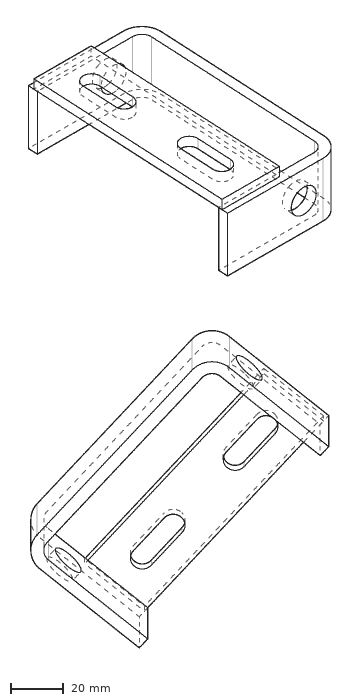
import cadquery as cq

bracket_length = 110.0
bracket_depth = 60.0
bracket_height = 30.0
thickness = 5.0
bend_radius = 10.0
cross_hole_diameter = 13.0
cross_hole_from_back = 20.0

plate_length = 104.0
plate_depth = 30.0
slot_length = 27.0
slot_width = 9.0
slot_spacing = 53.9


def make_bracket():
    """U-shaped strap, open toward -Y, with a hole through both arms."""
    outer = (
        cq.Workplane("XY")
        .box(bracket_length, bracket_depth, bracket_height, centered=(True, False, False))
        .edges("|Z and >Y")
        .fillet(bend_radius)
    )
    inside = (
        cq.Workplane("XY")
        .box(
            bracket_length - 2 * thickness,
            bracket_depth - thickness,
            bracket_height,
            centered=(True, False, False),
        )
        .edges("|Z and >Y")
        .fillet(bend_radius - thickness)
    )
    cross_hole = (
        cq.Workplane("YZ")
        .center(bracket_depth - cross_hole_from_back, bracket_height / 2)
        .circle(cross_hole_diameter / 2)
        .extrude(bracket_length / 2, both=True)
    )
    return outer.cut(inside).cut(cross_hole)


def make_plate():
    """Flat plate resting on the arms, flush with their free ends, with two slots."""
    blank = (
        cq.Workplane("XY", origin=(0, 0, bracket_height))
        .box(plate_length, plate_depth, thickness, centered=(True, False, False))
    )
    slots = (
        cq.Workplane("XY", origin=(0, plate_depth / 2, bracket_height))
        .pushPoints([(-slot_spacing / 2, 0), (slot_spacing / 2, 0)])
        .slot2D(slot_length, slot_width)
        .extrude(thickness)
    )
    return blank.cut(slots)


bracket = make_bracket()
plate = make_plate()

result = cq.Compound.makeCompound([bracket.solids().val(), plate.solids().val()])